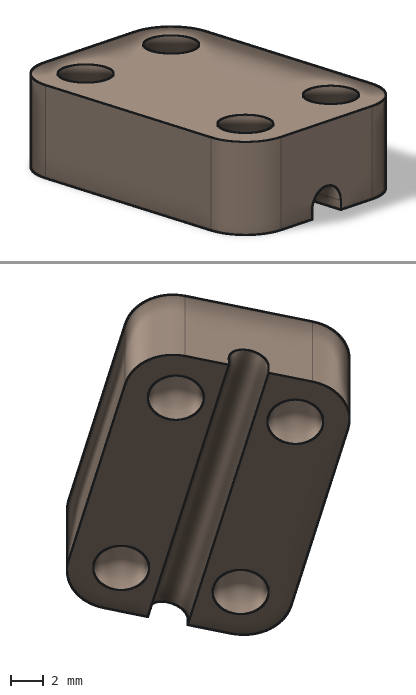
import cadquery as cq

length = 20.0
width = 14.0
height = 6.0
corner_radius = 3.0

hole_diameter = 3.4
hole_spacing_x = 13.5
hole_spacing_y = hole_spacing_x - (length - width)

channel_width = 2.5
channel_radius = channel_width / 2
channel_wall_height = 0.6


def make_plate():
    plate = cq.Workplane("XY").box(length, width, height, centered=(True, True, False))
    return plate.edges("|Z").fillet(corner_radius)


def make_holes():
    return (
        cq.Workplane("XY")
        .rarray(hole_spacing_x, hole_spacing_y, 2, 2)
        .circle(hole_diameter / 2)
        .extrude(height)
    )


def make_channel():
    return (
        cq.Workplane("YZ")
        .moveTo(-channel_radius, 0)
        .lineTo(-channel_radius, channel_wall_height)
        .threePointArc(
            (0, channel_wall_height + channel_radius),
            (channel_radius, channel_wall_height),
        )
        .lineTo(channel_radius, 0)
        .close()
        .extrude(length / 2, both=True)
    )


result = make_plate().cut(make_holes()).cut(make_channel())